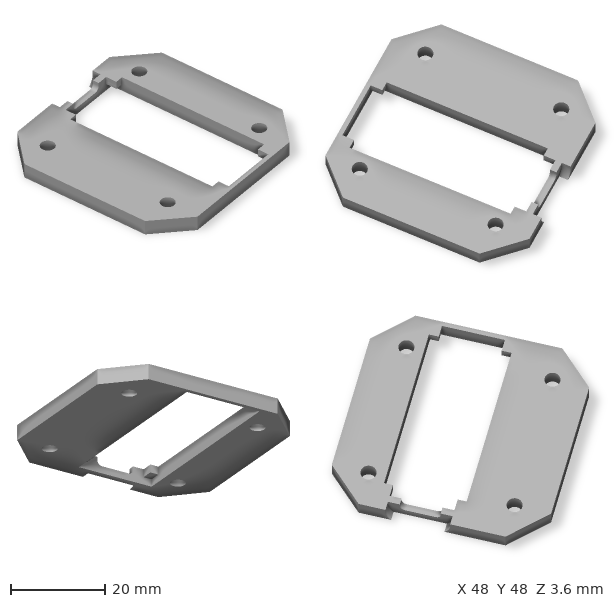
import cadquery as cq
import math

side = 48.0
thickness = 3.6
corner_cut = 7.9
hole_diameter = 3.4
hole_offset = 16.0

window_left = -17.65
window_right = 20.2
window_width = 18.1
window_center_y = 3.1
window_end = 22.95
left_notch_width = 14.1
right_notch_width = 13.8
tab_thickness = 1.85

recess_width = 14.15
recess_floor_x = -21.95
thin_wall_inner_x = -20.4
recess_straight_depth = 0.9
recess_arc_radius = 3.5

opening_width = 8.95
opening_depth = 1.9
opening_radius = 1.15


def window_block(x_start, x_end, width, height=thickness):
    """Block standing on the underside plane, on the window centreline."""
    return (
        cq.Workplane("XY")
        .center((x_start + x_end) / 2, window_center_y)
        .rect(x_end - x_start, width)
        .extrude(height)
    )


def plug_profile_cutter(x_start, x_end):
    """Plug cross-section: straight sides that curve inward towards the underside."""
    half_width = recess_width / 2
    tangent_z = thickness - recess_straight_depth

    def arc_point(z):
        drop = tangent_z - z
        inset = recess_arc_radius - math.sqrt(recess_arc_radius**2 - drop**2)
        return half_width - inset, z

    mid_y, mid_z = arc_point(tangent_z / 2)
    bottom_y, bottom_z = arc_point(0)
    return (
        cq.Workplane("YZ", origin=(x_start, window_center_y, 0))
        .moveTo(-half_width, thickness)
        .lineTo(half_width, thickness)
        .lineTo(half_width, tangent_z)
        .threePointArc((mid_y, mid_z), (bottom_y, bottom_z))
        .lineTo(-bottom_y, bottom_z)
        .threePointArc((-mid_y, mid_z), (-half_width, tangent_z))
        .close()
        .extrude(x_end - x_start)
    )


def opening_cutter():
    """Opening through the thin wall, rounded at its two lower edges."""
    wall_thickness = thin_wall_inner_x - recess_floor_x
    return (
        cq.Workplane("XY")
        .box(wall_thickness, opening_width, opening_depth, centered=(False, True, False))
        .edges("|X and <Z")
        .fillet(opening_radius)
        .translate((recess_floor_x, window_center_y, thickness - opening_depth))
    )


plate = (
    cq.Workplane("XY")
    .rect(side, side)
    .extrude(thickness)
    .edges("|Z")
    .chamfer(corner_cut)
    .faces(">Z")
    .workplane()
    .rect(2 * hole_offset, 2 * hole_offset, forConstruction=True)
    .vertices()
    .hole(hole_diameter)
)

result = (
    plate.cut(window_block(window_left, window_right, window_width))
    .cut(window_block(window_right, window_end, right_notch_width))
    .cut(window_block(thin_wall_inner_x, window_left, left_notch_width))
    .cut(plug_profile_cutter(thin_wall_inner_x, window_left))
    .cut(window_block(thin_wall_inner_x, window_end, window_width, thickness - tab_thickness))
    .cut(plug_profile_cutter(-side / 2, recess_floor_x))
    .cut(opening_cutter())
)